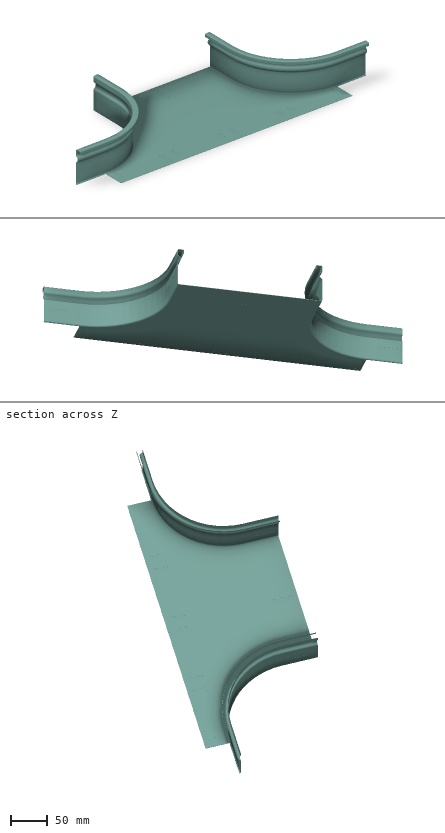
import cadquery as cq
import math


sheet = 0.5
length_x = 185.0
height = 54.0
straight_run = 50.0
corner_radius = 99.0
branch_half_width = 101.0
corner_y = branch_half_width + corner_radius
wall_end_x = straight_run + corner_radius
wall_end_y = corner_y + straight_run

foot_depth = 2.0
foot_radius = foot_depth - sheet / 2
bead_z = 39.0
bead_half_height = 7.0
bead_depth = 4.0
bead_root_radius = 3.0
top_radius = 1.75
flange_depth = 9.0
lip_radius = 1.25
lip_height = 5.0

slot_membrane = 0.2
slot_width = 7.5
end_slot_length = 32.0
end_slot_inset = 21.0
wall_slot_z = 17.5
edge_slot_length = 23.5
edge_slot_inset = 17.0
edge_slot_pitch = 100.0
edge_slot_offset = 10.0

bead_angle = 2 * math.degrees(math.atan(bead_depth / bead_half_height))
bead_crown_radius = bead_half_height / math.sin(math.radians(bead_angle)) - bead_root_radius


def step(point, heading, distance):
    """Point reached by moving a distance along a heading in degrees."""
    angle = math.radians(heading)
    return (point[0] + distance * math.cos(angle), point[1] + distance * math.sin(angle))


def strip_side(start, heading, runs, offset):
    """One face of a bent strip: its first point and a list of (middle, end) per run.

    A run is (length, 0) for a flat or (radius, turn) for a bend, with left turns positive.
    The offset moves the face to the left of the mid-thickness line; a flat has no middle.
    """
    point = start
    first = step(point, heading + 90, offset)
    stretches = []
    for size, turn in runs:
        if turn == 0:
            point = step(point, heading, size)
            stretches.append((None, step(point, heading + 90, offset)))
            continue
        to_center = math.copysign(90, turn)
        center = step(point, heading + to_center, size)
        face_radius = size - offset * math.copysign(1, turn)
        middle = step(center, heading + turn / 2 - to_center, face_radius)
        heading += turn
        point = step(center, heading - to_center, size)
        stretches.append((middle, step(center, heading - to_center, face_radius)))
    return first, stretches


def draw_to(outline, middle, end):
    if middle is None:
        return outline.lineTo(*end)
    return outline.threePointArc(middle, end)


def wall_section():
    """Closed wall outline at X = 0 on the -Y wall, drawn from the foot up to the lip."""
    web_below_bead = bead_z - bead_half_height - foot_depth
    web_above_bead = height - sheet / 2 - top_radius - bead_z - bead_half_height
    runs = [
        (foot_radius, -90),
        (web_below_bead, 0),
        (bead_root_radius, -bead_angle),
        (bead_crown_radius, 2 * bead_angle),
        (bead_root_radius, -bead_angle),
        (web_above_bead, 0),
        (top_radius, -90),
        (flange_depth - sheet - top_radius - lip_radius, 0),
        (lip_radius, -90),
        (lip_height - lip_radius - sheet / 2, 0),
    ]
    foot = (foot_depth - branch_half_width, sheet / 2)
    outer_start, outer = strip_side(foot, 180, runs, sheet / 2)
    inner_start, inner = strip_side(foot, 180, runs, -sheet / 2)

    outline = cq.Workplane("YZ").moveTo(*inner_start)
    for middle, end in inner:
        outline = draw_to(outline, middle, end)
    outline = outline.lineTo(*outer[-1][1])
    outer_ends = [outer_start] + [end for _, end in outer]
    for index in reversed(range(len(outer))):
        outline = draw_to(outline, outer[index][0], outer_ends[index])
    return outline.close()


def corner_middle(radius, side):
    """Halfway point of the corner arc of a given radius, on the +Y or -Y side."""
    reach = radius * math.sqrt(0.5)
    return (straight_run + reach, side * (corner_y - reach))


def side_wall():
    path = (
        cq.Workplane("XY")
        .moveTo(0, -branch_half_width)
        .lineTo(straight_run, -branch_half_width)
        .threePointArc(corner_middle(corner_radius, -1), (wall_end_x, -corner_y))
        .lineTo(wall_end_x, -wall_end_y)
    )
    return wall_section().sweep(path)


def floor():
    edge_radius = corner_radius + foot_depth
    edge_x = straight_run + edge_radius
    edge_y = corner_y - edge_radius
    return (
        cq.Workplane("XY")
        .moveTo(0, -edge_y)
        .lineTo(straight_run, -edge_y)
        .threePointArc(corner_middle(edge_radius, -1), (edge_x, -corner_y))
        .lineTo(length_x, -corner_y)
        .lineTo(length_x, corner_y)
        .lineTo(edge_x, corner_y)
        .threePointArc(corner_middle(edge_radius, 1), (straight_run, edge_y))
        .lineTo(0, edge_y)
        .close()
        .extrude(sheet)
    )


def slot_recesses(workplane, centers, length):
    """Slot-shaped cutters for both faces of a sheet whose mid-thickness plane is given."""
    recesses = workplane.pushPoints(centers).slot2D(length, slot_width).extrude(sheet, both=True)
    membrane = workplane.pushPoints(centers).slot2D(length, slot_width).extrude(slot_membrane / 2, both=True)
    return recesses.cut(membrane)


def floor_slots():
    """A slot at the branch end and pairs along the long edge; only half of each end pair fits."""
    edge_slot_centers = []
    end_pair = round(corner_y / edge_slot_pitch)
    for pair in range(-end_pair, end_pair + 1):
        for offset in (-edge_slot_offset, edge_slot_offset):
            y = pair * edge_slot_pitch + offset
            if abs(y) < corner_y:
                edge_slot_centers.append((length_x - edge_slot_inset, y))
    mid_floor = cq.Workplane("XY", origin=(0, 0, sheet / 2))
    edge_slots = slot_recesses(mid_floor, edge_slot_centers, edge_slot_length)
    end_slot = slot_recesses(mid_floor, [(end_slot_inset, 0)], end_slot_length)
    return edge_slots.union(end_slot)


def wall_slots():
    """A slot in each straight end of the -Y side wall."""
    mid_branch_wall = cq.Workplane("XZ", origin=(0, sheet / 2 - branch_half_width, 0))
    mid_run_wall = cq.Workplane("YZ", origin=(wall_end_x + sheet / 2, 0, 0))
    branch_slot = slot_recesses(mid_branch_wall, [(end_slot_inset, wall_slot_z)], end_slot_length)
    run_slot = slot_recesses(mid_run_wall, [(end_slot_inset - wall_end_y, wall_slot_z)], end_slot_length)
    return branch_slot.union(run_slot)


near_wall = side_wall().cut(wall_slots())
far_wall = near_wall.mirror("XZ")
result = floor().cut(floor_slots()).union(near_wall).union(far_wall)